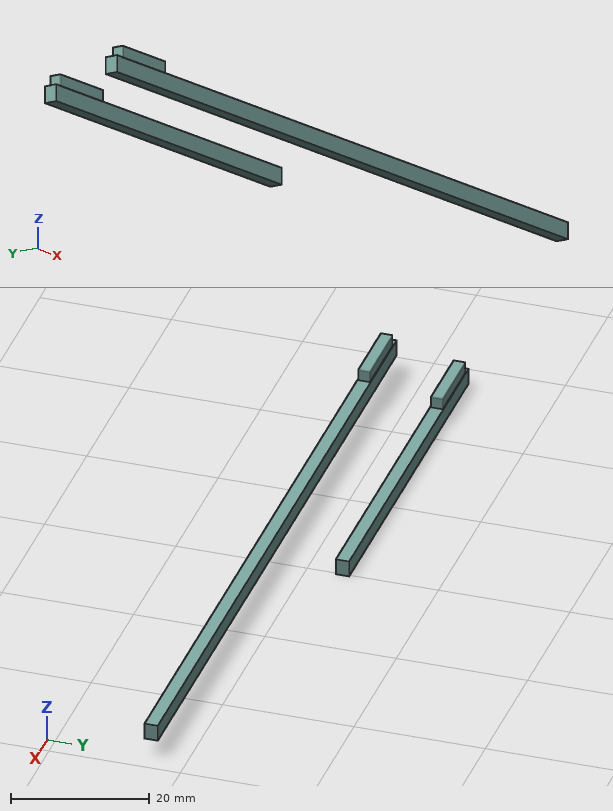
import cadquery as cq

LONG_LENGTH = 113.0
OVERALL_DEPTH = 13.1
OVERALL_HEIGHT = 6.9

KEY_START_X = 1.6
KEY_LENGTH = 10.7
KEY_WIDTH = 1.8
KEY_HEIGHT = 1.8
KEY_FILLET = 0.09

SHORT_LENGTH = LONG_LENGTH / 2
BAR_WIDTH = 2.0
BAR_HEIGHT = (OVERALL_HEIGHT - KEY_HEIGHT) / 2

SHORT_START_X = 0.4
SHORT_OFFSET_Y = OVERALL_DEPTH - BAR_WIDTH
SHORT_OFFSET_Z = -BAR_HEIGHT


def keyed_bar(start_x, length):
    """Bar centred on y = 0 and resting on z = 0, with its rounded key on top."""
    bar = (
        cq.Workplane("XY")
        .box(length, BAR_WIDTH, BAR_HEIGHT, centered=(False, True, False))
        .translate((start_x, 0, 0))
    )
    key = (
        cq.Workplane("XY")
        .box(KEY_LENGTH, KEY_WIDTH, KEY_HEIGHT, centered=(False, True, False))
        .edges("|Z or >Z")
        .fillet(KEY_FILLET)
        .translate((KEY_START_X, 0, BAR_HEIGHT))
    )
    return bar.union(key)


long_bar = keyed_bar(0, LONG_LENGTH)
short_bar = keyed_bar(SHORT_START_X, SHORT_LENGTH).translate((0, SHORT_OFFSET_Y, SHORT_OFFSET_Z))

result = cq.Compound.makeCompound([long_bar.val(), short_bar.val()])